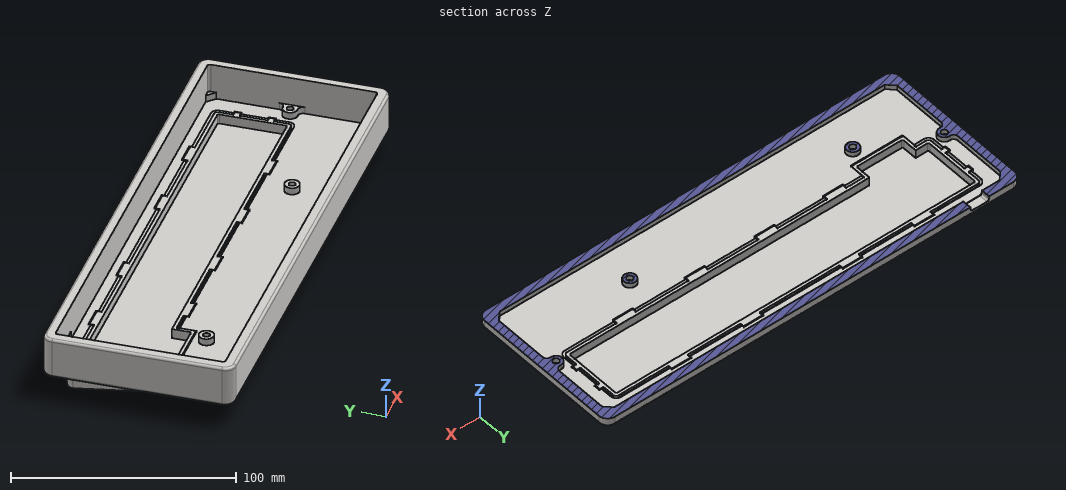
import cadquery as cq
import math


case_length = 241.0
case_width = 89.0
case_height = 20.0
wall = 5.0
floor = 2.5
case_corner_radius = 5.0
cavity_corner_radius = 1.2
rim_fillet = 1.2
base_fillet = 1.5

slot_x = -96.2
slot_width = 10.5
slot_height = 3.9
slot_sill = 0.2
slot_corner_radius = 1.2

post_diameter = 7.0
post_hole_diameter = 3.1
post_height = 3.4
floor_posts = [(-75.5, -18.5), (53.8, -18.5)]
wall_post_x = 112.5
wall_post_y = 0.5
wall_post_blend = 2.5
corner_gusset = 3.9

opening_left = -106.3
opening_right = 105.4
opening_back = 33.0
opening_front = -2.7
opening_corner_radius = 1.7
opening_chamfer = 1.5
bay_left = -98.9
bay_right = -68.7
bay_front = -11.5
bay_corner_radius = 1.0
bay_front_gap = 0.5

back_tab_x = [-71.5, -30.0, 27.5, 69.2]
front_tab_x = [-52.8, -13.0, 27.5, 69.2]
side_tab_y = [23.1, 7.2]
long_tab_width = 11.0
side_tab_width = 3.0
tab_reach = 2.2
tab_end_gap = 0.5
tab_side_gap = 0.2

plug_wall = 1.7
pocket_depth = 4.8
pocket_corner_radius = 0.7
foot_left = -112.4
foot_right = 110.7
foot_drop = 10.1
foot_angle = 7.8
foot_heel_y = 35.7
foot_toe_y = -23.6
foot_corner_radius = 3.9
foot_fillet = 0.7


def block(left, right, front, back, bottom, top):
    """Box given by its six bounding planes."""
    return (
        cq.Workplane("XY", origin=((left + right) / 2, (front + back) / 2, bottom))
        .rect(right - left, back - front)
        .extrude(top - bottom)
    )


def opening_prism(inset, corner_radius, bay_radius, bottom, top):
    """Rectangle plus front bay, shrunk by inset, as one prism."""
    main = block(
        opening_left + inset, opening_right - inset, opening_front + inset, opening_back - inset, bottom, top
    )
    bay = block(bay_left + inset, bay_right - inset, bay_front + inset, opening_back / 2, bottom, top)
    return main.edges("|Z").fillet(corner_radius).union(bay.edges("|Z").fillet(bay_radius))


def tabs(end_gap, side_gap):
    """All clip tabs, grown by a gap at the ends and sides; they overlap the plug wall at their roots."""
    reach = tab_reach + end_gap
    half_long = long_tab_width / 2 + side_gap
    half_side = side_tab_width / 2 + side_gap
    blocks = []
    for x in back_tab_x:
        blocks.append(block(
            x - half_long, x + half_long, opening_back - plug_wall / 2, opening_back + reach, 0, floor
        ))
    for x in front_tab_x:
        blocks.append(block(
            x - half_long, x + half_long, opening_front - reach, opening_front + plug_wall / 2, 0, floor
        ))
    for y in side_tab_y:
        blocks.append(block(
            opening_left - reach, opening_left + plug_wall / 2, y - half_side, y + half_side, 0, floor
        ))
        blocks.append(block(
            opening_right - plug_wall / 2, opening_right + reach, y - half_side, y + half_side, 0, floor
        ))
    return blocks


def wall_post(side):
    """Post next to an end wall (side = -1 or 1), blended into the wall by concave arcs."""
    radius = post_diameter / 2
    wall_x = case_length / 2 - wall
    root_x = wall_x + wall / 2
    blend_x = wall_x - wall_post_blend
    centre_gap = radius + wall_post_blend
    blend_y = math.sqrt(centre_gap**2 - (wall_post_x - blend_x) ** 2)
    meet_x = wall_post_x + (blend_x - wall_post_x) * radius / centre_gap
    meet_y = blend_y * radius / centre_gap
    post_angle = math.atan2(meet_y - blend_y, meet_x - blend_x)
    middle_angle = post_angle / 2
    middle_x = blend_x + wall_post_blend * math.cos(middle_angle)
    middle_y = blend_y + wall_post_blend * math.sin(middle_angle)
    return (
        cq.Workplane("XY", origin=(0, wall_post_y, floor))
        .moveTo(side * root_x, blend_y)
        .lineTo(side * wall_x, blend_y)
        .threePointArc((side * middle_x, middle_y), (side * meet_x, meet_y))
        .threePointArc((side * (wall_post_x - radius), 0), (side * meet_x, -meet_y))
        .threePointArc((side * middle_x, -middle_y), (side * wall_x, -blend_y))
        .lineTo(side * root_x, -blend_y)
        .close()
        .extrude(post_height)
    )


def corner_gussets():
    """Triangular ledges in the four bottom corners of the cavity, rooted inside the walls."""
    gussets = []
    corner_x = case_length / 2 - wall / 2
    corner_y = case_width / 2 - wall / 2
    leg = corner_gusset + wall
    for side_x in (-1, 1):
        for side_y in (-1, 1):
            gussets.append(
                cq.Workplane("XY", origin=(side_x * corner_x, side_y * corner_y, floor))
                .polyline([(0, 0), (-side_x * leg, 0), (0, -side_y * leg)])
                .close()
                .extrude(post_height)
            )
    return gussets


def make_case():
    shell = (
        cq.Workplane("XY")
        .rect(case_length, case_width)
        .extrude(case_height)
        .edges("|Z").fillet(case_corner_radius)
        .faces(">Z").edges().fillet(rim_fillet)
        .faces("<Z").edges().fillet(base_fillet)
    )
    cavity = (
        cq.Workplane("XY", origin=(0, 0, floor))
        .rect(case_length - 2 * wall, case_width - 2 * wall)
        .extrude(case_height)
        .edges("|Z").fillet(cavity_corner_radius)
    )
    case = shell.cut(cavity)

    slot = block(
        slot_x - slot_width / 2, slot_x + slot_width / 2, case_width / 2 - wall, case_width / 2,
        floor + slot_sill, floor + slot_sill + slot_height,
    )
    case = case.cut(slot.edges("|Y").fillet(slot_corner_radius))

    for gusset in corner_gussets():
        case = case.union(gusset)
    for side in (-1, 1):
        case = case.union(wall_post(side))
    posts = cq.Workplane("XY", origin=(0, 0, floor)).pushPoints(floor_posts)
    case = case.union(posts.circle(post_diameter / 2).extrude(post_height))
    hole_places = floor_posts + [(-wall_post_x, wall_post_y), (wall_post_x, wall_post_y)]
    holes = cq.Workplane("XY", origin=(0, 0, floor)).pushPoints(hole_places)
    case = case.cut(holes.circle(post_hole_diameter / 2).extrude(post_height))

    case = case.cut(block(bay_left, bay_right, bay_front - bay_front_gap, opening_front, 0, floor))

    case = case.cut(opening_prism(0, opening_corner_radius, bay_corner_radius, 0, floor))

    chamfer_top = cq.Sketch().rect(
        opening_right - opening_left + 2 * opening_chamfer, opening_back - opening_front + 2 * opening_chamfer
    )
    chamfer_top = chamfer_top.vertices().fillet(opening_corner_radius + opening_chamfer)
    middle = ((opening_left + opening_right) / 2, (opening_front + opening_back) / 2, floor)
    chamfer = cq.Workplane("XY", origin=middle).placeSketch(chamfer_top).extrude(-opening_chamfer, taper=45)
    case = case.cut(chamfer)

    for notch in tabs(tab_end_gap, tab_side_gap):
        case = case.cut(notch)
    return case


def make_foot():
    angle = math.radians(foot_angle)
    slab_length = (foot_heel_y - foot_toe_y) / math.cos(angle)
    tilted = cq.Plane(
        origin=((foot_left + foot_right) / 2, foot_heel_y, -foot_drop),
        xDir=(1, 0, 0),
        normal=(0, math.sin(angle), math.cos(angle)),
    )
    wedge = (
        cq.Workplane(tilted)
        .center(0, -slab_length / 2)
        .rect(foot_right - foot_left, slab_length)
        .extrude(2 * foot_drop)
    )
    wedge = wedge.edges(cq.selectors.ParallelDirSelector(tilted.zDir)).fillet(foot_corner_radius)
    wedge = wedge.faces("<Z").edges().fillet(foot_fillet)
    wedge = wedge.cut(block(-case_length, case_length, -case_width, case_width, 0, case_height))

    foot = wedge.union(opening_prism(0, opening_corner_radius, bay_corner_radius, 0, floor))
    for tab in tabs(0, 0):
        foot = foot.union(tab)
    pocket = opening_prism(
        plug_wall, pocket_corner_radius, pocket_corner_radius, floor - pocket_depth, floor
    )
    return foot.cut(pocket)


case = make_case()
foot = make_foot()
result = cq.Compound.makeCompound([case.val(), foot.val()])